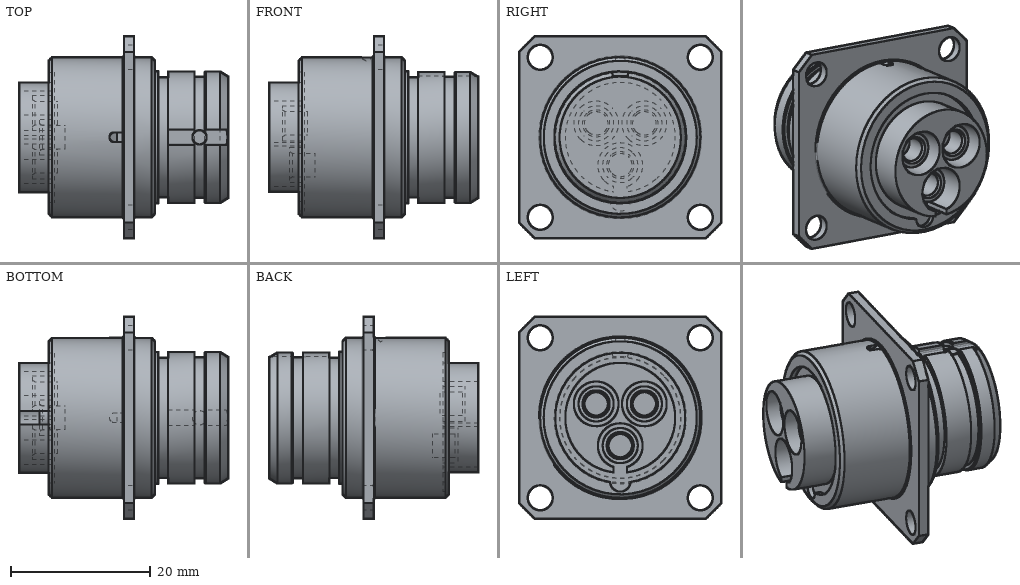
import cadquery as cq
import math

length = 30.0
half_length = length / 2

sleeve_start = 4.23
flange_front = 15.0
flange_back = 16.5
shoulder_end = 19.5
collar_end = 19.98
front_ring_start = 21.35
groove_start = 25.17
groove_end = 26.58
end_taper_start = 28.8

sleeve_radius = 11.5
collar_radius = 9.48
neck_radius = 8.65
ring_radius = 9.45
groove_radius = 8.7
end_radius = 8.7

sleeve_chamfer = 0.5
flange_fillet = 0.18
groove_chamfer = 0.18
collar_chamfer = 0.05

flange_side = 29.0
flange_corner_chamfer = 2.25
flange_hole_radius = 1.77
flange_hole_pitch = 22.95

insert_radius = 7.9
recess_radius = 9.33
recess_depth = 0.8
recess_floor = sleeve_start + recess_depth
key_radius = 1.47
key_centre_z = -9.12

contact_circle_radius = 4.0
upper_contact_angles = (30, 150)
lower_contact_angle = 270
well_radius = 3.2
contact_radius = 2.52
upper_contact_face = 1.9
lower_contact_face = 2.95
socket_radius = 1.68
countersink_width = 0.27
countersink_depth = 0.4
socket_depth = 3.6
key_slot_width = 1.92

keyway_width = 2.25
keyway_floor_z = 8.8
keyway_fillet = 0.15
plug_radius = 1.02
plug_x = 25.85
plug_top_z = 8.73
plug_root_z = 7.5

notch_start = 12.95
notch_deepest = 14.0
notch_end = flange_front - flange_fillet
notch_width = 1.4
notch_depth = 0.6


def rod(start, end, radius, y=0, z=0):
    """Solid cylinder along X between two axial stations."""
    plane = cq.Plane(origin=(start - half_length, y, z), xDir=(0, 1, 0), normal=(1, 0, 0))
    return cq.Workplane(plane).circle(radius).extrude(end - start)


def block(start, end, width, bottom, top):
    """Box centred on Y, given by its axial and height limits."""
    box = cq.Workplane("XY").box(end - start, width, top - bottom, centered=(False, True, False))
    return box.translate((start - half_length, 0, bottom))


def turned_body():
    """Sleeve, shoulder, collar and grooved end in one revolved profile."""
    root_radius = sleeve_radius + flange_fillet
    shoulder_radius = sleeve_radius - sleeve_chamfer
    profile = (
        cq.Workplane("XY", origin=(-half_length, 0, 0))
        .moveTo(sleeve_start, 0)
        .lineTo(sleeve_start, shoulder_radius)
        .lineTo(sleeve_start + sleeve_chamfer, sleeve_radius)
        .lineTo(flange_front - flange_fillet, sleeve_radius)
        .radiusArc((flange_front, root_radius), -flange_fillet)
        .lineTo(flange_back, root_radius)
        .radiusArc((flange_back + flange_fillet, sleeve_radius), -flange_fillet)
        .lineTo(shoulder_end - sleeve_chamfer, sleeve_radius)
        .lineTo(shoulder_end, shoulder_radius)
        .lineTo(shoulder_end, collar_radius)
        .lineTo(collar_end - collar_chamfer, collar_radius)
        .lineTo(collar_end, collar_radius - collar_chamfer)
        .lineTo(collar_end, neck_radius)
        .lineTo(front_ring_start, neck_radius)
        .lineTo(front_ring_start, ring_radius)
        .lineTo(groove_start, ring_radius)
        .lineTo(groove_start, groove_radius)
        .lineTo(groove_end, groove_radius)
        .lineTo(groove_end, ring_radius - groove_chamfer)
        .lineTo(groove_end + groove_chamfer, ring_radius)
        .lineTo(end_taper_start, ring_radius)
        .lineTo(length, end_radius)
        .lineTo(length, 0)
        .close()
    )
    return profile.revolve(360, (0, 0, 0), (1, 0, 0))


def flange():
    """Square mounting plate with cut corners and four through holes."""
    plate = (
        cq.Workplane("YZ", origin=(flange_front - half_length, 0, 0))
        .rect(flange_side, flange_side)
        .extrude(flange_back - flange_front)
        .edges("|X")
        .chamfer(flange_corner_chamfer)
    )
    hole_face = plate.faces("<X").workplane(centerOption="CenterOfBoundBox")
    hole_centres = hole_face.rect(flange_hole_pitch, flange_hole_pitch, forConstruction=True).vertices()
    return hole_centres.hole(2 * flange_hole_radius)


def front_recess():
    """Ring-shaped recess around the insert, with a rounded key groove at its bottom."""
    recess = rod(sleeve_start, recess_floor, recess_radius)
    groove = rod(sleeve_start, recess_floor, key_radius, z=key_centre_z)
    return recess.union(groove).cut(rod(0, recess_floor, insert_radius))


def contact_cavity(angle, contact_face):
    """Well in the insert around a contact that has a countersunk socket."""
    y = contact_circle_radius * math.cos(math.radians(angle))
    z = contact_circle_radius * math.sin(math.radians(angle))
    mouth_radius = socket_radius + countersink_width
    well = rod(0, recess_floor, well_radius, y, z)
    contact = rod(contact_face, recess_floor, contact_radius, y, z)
    socket = rod(contact_face, contact_face + socket_depth, socket_radius, y, z)
    countersink = cq.Workplane(
        cq.Solid.makeCone(
            mouth_radius,
            socket_radius,
            countersink_depth,
            pnt=cq.Vector(contact_face - half_length, y, z),
            dir=cq.Vector(1, 0, 0),
        )
    )
    return well.cut(contact).union(socket).union(countersink)


def key_slot():
    """Slot through the insert wall, from the lower well to the recess."""
    contact_edge = contact_circle_radius + contact_radius
    return block(0, recess_floor, key_slot_width, -recess_radius, -contact_edge)


def rear_keyway():
    """Flat-bottomed keyway along the top of the rear rings, filleted along its floor."""
    slot = block(front_ring_start, length, keyway_width, keyway_floor_z, ring_radius)
    return slot.edges("|X and <Z").fillet(keyway_fillet)


def index_notch():
    """V-shaped notch with a rounded front end, running up to the flange fillet."""
    floor = sleeve_radius - notch_depth
    tip_radius = notch_width / 2
    notch_length = notch_end - notch_start
    vee = (
        cq.Workplane("XZ", origin=(-half_length, 0, 0))
        .moveTo(notch_start, sleeve_radius)
        .lineTo(notch_deepest, floor)
        .lineTo(notch_end, sleeve_radius)
        .close()
        .extrude(tip_radius, both=True)
    )
    outline = (
        cq.Workplane("XY", origin=(notch_start - half_length, 0, floor))
        .moveTo(tip_radius, tip_radius)
        .lineTo(notch_length, tip_radius)
        .lineTo(notch_length, -tip_radius)
        .lineTo(tip_radius, -tip_radius)
        .threePointArc((0, 0), (tip_radius, tip_radius))
        .close()
        .extrude(notch_depth)
    )
    return vee.intersect(outline)


def plug(bottom, top):
    """Upright round plug at the crossing of the keyway and the groove."""
    base = cq.Workplane("XY", origin=(plug_x - half_length, 0, bottom))
    return base.circle(plug_radius).extrude(top - bottom)


result = turned_body().union(flange()).cut(front_recess())
result = result.union(rod(0, recess_floor, insert_radius))
for angle in upper_contact_angles:
    result = result.cut(contact_cavity(angle, upper_contact_face))
result = result.cut(contact_cavity(lower_contact_angle, lower_contact_face))
result = result.cut(key_slot()).cut(rear_keyway()).cut(index_notch())
result = result.cut(plug(plug_top_z, ring_radius)).union(plug(plug_root_z, plug_top_z))